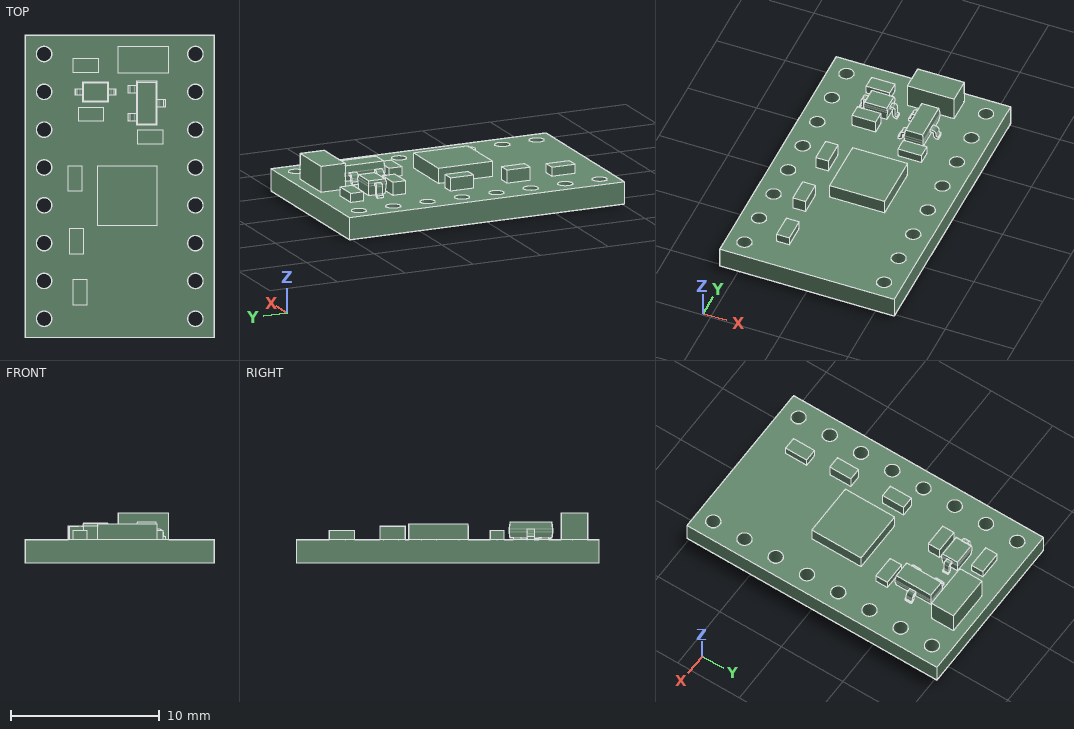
import cadquery as cq

BOARD_WIDTH = 12.7
BOARD_LENGTH = 20.32
TOTAL_HEIGHT = 3.37
BOARD_THICKNESS = 1.56

HOLE_DIAMETER = 1.02
HOLES_PER_ROW = 8
HOLE_PITCH = BOARD_LENGTH / HOLES_PER_ROW
HOLE_ROW_SPACING = 4 * HOLE_PITCH

RESISTOR = (1.7, 0.93, 0.63)
SMALL_CAPACITOR = (1.7, 0.91, 0.91)
LARGE_CAPACITOR = (3.4, 1.79, TOTAL_HEIGHT - BOARD_THICKNESS)
DRIVER_CHIP = (4.0, 4.0, 1.05)

FLAT_CHIPS = [
    (RESISTOR, (-2.28, 8.13)),
    (RESISTOR, (2.05, 3.31)),
    (SMALL_CAPACITOR, (-1.93, 4.85)),
    (LARGE_CAPACITOR, (1.58, 8.51)),
    (DRIVER_CHIP, (0.5, -0.63)),
]
UPRIGHT_CHIPS = [
    (RESISTOR, (-2.66, -7.11)),
    (SMALL_CAPACITOR, (-3.0, 0.53)),
    (SMALL_CAPACITOR, (-2.9, -3.7)),
]

DIODE_CENTER = (-1.63, 6.35)
DIODE_SIZE = (1.73, 1.32)
DIODE_BOTTOM = 0.08
DIODE_LEAD_TOP = 0.93
DIODE_TOP = 1.12
DIODE_TOP_DRAFT = 15
DIODE_BOTTOM_DRAFT = 5
DIODE_LEAD_THICKNESS = 0.16
DIODE_LEAD_WIDTH = 0.43
DIODE_LEAD_SPAN = 2.75
DIODE_BEND_RADIUS = 0.18

TRANSISTOR_CENTER = (1.8, 5.59)
TRANSISTOR_SIZE = (1.38, 2.95)
TRANSISTOR_BOTTOM = 0.12
TRANSISTOR_LEAD_TOP = 0.71
TRANSISTOR_TOP = 1.2
TRANSISTOR_DRAFT = 8
TRANSISTOR_LEAD_THICKNESS = 0.2
TRANSISTOR_LEAD_WIDTH = 0.5
TRANSISTOR_LEAD_SPAN = 2.55
TRANSISTOR_LEAD_OFFSET = 0.93
TRANSISTOR_BEND_RADIUS = 0.3

FOOT_REACH = 0.15
FOOT_RADIUS = 0.1


def make_board():
    board = cq.Workplane("XY").box(
        BOARD_WIDTH, BOARD_LENGTH, BOARD_THICKNESS, centered=(True, True, False)
    )
    return (
        board.faces(">Z")
        .workplane()
        .rarray(HOLE_ROW_SPACING, HOLE_PITCH, 2, HOLES_PER_ROW)
        .hole(HOLE_DIAMETER)
    )


def make_chip(size, center, upright=False):
    """Plain block standing on the board."""
    length, width, height = size
    if upright:
        length, width = width, length
    block = cq.Workplane("XY").box(length, width, height, centered=(True, True, False))
    return block.translate((*center, BOARD_THICKNESS))


def make_moulded_body(size, bottom, band_bottom, band_top, top, bottom_draft, top_draft):
    """Body that is widest at a straight band and tapers above and below it."""
    band = cq.Workplane("XY").workplane(offset=band_bottom).rect(*size).extrude(band_top - band_bottom)
    upper = cq.Workplane("XY").workplane(offset=band_top).rect(*size).extrude(top - band_top, taper=top_draft)
    lower = (
        cq.Workplane("XY")
        .workplane(offset=band_bottom)
        .rect(*size)
        .extrude(bottom - band_bottom, taper=bottom_draft)
    )
    return band.union(upper).union(lower)


def make_lead(tip, top, thickness, width, bend_radius):
    """Strip running along +X from the package centre, bent down to a foot on the board."""
    outer_face = tip - FOOT_REACH
    inner_face = outer_face - thickness
    bend_start = outer_face - bend_radius
    bend_end = top - bend_radius
    foot_start = outer_face + FOOT_RADIUS
    foot_bend_top = thickness + FOOT_RADIUS
    outline = (
        cq.Workplane("XZ")
        .moveTo(0, top)
        .lineTo(bend_start, top)
        .radiusArc((outer_face, bend_end), bend_radius)
        .lineTo(outer_face, foot_bend_top)
        .radiusArc((foot_start, thickness), -FOOT_RADIUS)
        .lineTo(tip, thickness)
        .lineTo(tip, 0)
        .lineTo(foot_start, 0)
        .radiusArc((inner_face, foot_bend_top), FOOT_RADIUS + thickness)
        .lineTo(inner_face, bend_end)
        .radiusArc((bend_start, top - thickness), thickness - bend_radius)
        .lineTo(0, top - thickness)
        .close()
    )
    return outline.extrude(width / 2, both=True)


def make_diode():
    body = make_moulded_body(
        DIODE_SIZE,
        DIODE_BOTTOM,
        DIODE_LEAD_TOP - DIODE_LEAD_THICKNESS,
        DIODE_LEAD_TOP,
        DIODE_TOP,
        DIODE_BOTTOM_DRAFT,
        DIODE_TOP_DRAFT,
    )
    lead = make_lead(
        DIODE_LEAD_SPAN / 2, DIODE_LEAD_TOP, DIODE_LEAD_THICKNESS, DIODE_LEAD_WIDTH, DIODE_BEND_RADIUS
    )
    diode = body.union(lead).union(lead.mirror("YZ"))
    return diode.translate((*DIODE_CENTER, BOARD_THICKNESS))


def make_transistor():
    body = make_moulded_body(
        TRANSISTOR_SIZE,
        TRANSISTOR_BOTTOM,
        TRANSISTOR_LEAD_TOP - TRANSISTOR_LEAD_THICKNESS,
        TRANSISTOR_LEAD_TOP,
        TRANSISTOR_TOP,
        TRANSISTOR_DRAFT,
        TRANSISTOR_DRAFT,
    )
    lead = make_lead(
        TRANSISTOR_LEAD_SPAN / 2,
        TRANSISTOR_LEAD_TOP,
        TRANSISTOR_LEAD_THICKNESS,
        TRANSISTOR_LEAD_WIDTH,
        TRANSISTOR_BEND_RADIUS,
    )
    transistor = body.union(lead)
    for offset in (-TRANSISTOR_LEAD_OFFSET, TRANSISTOR_LEAD_OFFSET):
        transistor = transistor.union(lead.mirror("YZ").translate((0, offset, 0)))
    return transistor.translate((*TRANSISTOR_CENTER, BOARD_THICKNESS))


result = make_board()
for chip_size, chip_center in FLAT_CHIPS:
    result = result.union(make_chip(chip_size, chip_center))
for chip_size, chip_center in UPRIGHT_CHIPS:
    result = result.union(make_chip(chip_size, chip_center, upright=True))
result = result.union(make_diode()).union(make_transistor())